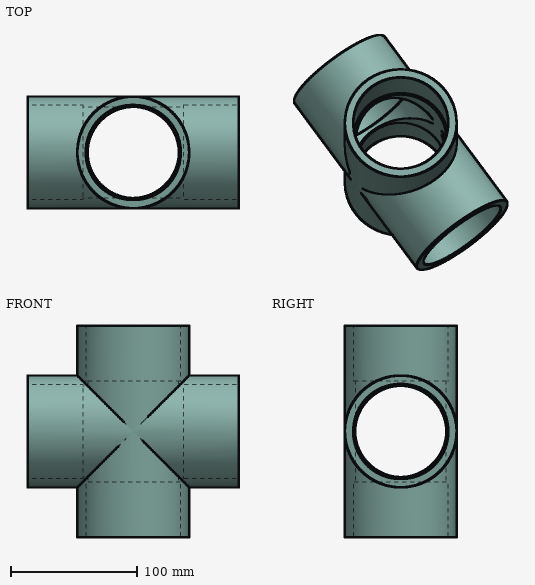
import cadquery as cq

span = 168.0
outer_diameter = 89.0
bore_diameter = 72.0
socket_diameter = 75.0
socket_depth = 44.0
rim_chamfer = 0.42

half_span = span / 2
outer_radius = outer_diameter / 2
bore_radius = bore_diameter / 2
socket_radius = socket_diameter / 2


def outer_tube():
    """Solid outside of one tube along Z with both end rims chamfered."""
    tube = cq.Workplane("XY").circle(outer_radius).extrude(half_span, both=True)
    return tube.edges("%CIRCLE").chamfer(rim_chamfer)


def tube_cavity():
    """Bore along Z with a chamfered socket at both ends, as a solid of revolution."""
    socket_floor = half_span - socket_depth
    chamfer_start = half_span - rim_chamfer
    mouth_radius = socket_radius + rim_chamfer
    upper_profile = [
        (bore_radius, socket_floor),
        (socket_radius, socket_floor),
        (socket_radius, chamfer_start),
        (mouth_radius, half_span),
    ]
    lower_profile = [(radius, -height) for radius, height in reversed(upper_profile)]
    outline = [(0, -half_span)] + lower_profile + upper_profile + [(0, half_span)]
    return cq.Workplane("XZ").polyline(outline).close().revolve(360, (0, 0, 0), (0, 1, 0))


def crossed(tube):
    """Join a shape along Z with its copy turned to lie along X."""
    turned = tube.rotate((0, 0, 0), (0, 1, 0), 90)
    return tube.union(turned)


result = crossed(outer_tube()).cut(crossed(tube_cavity()))